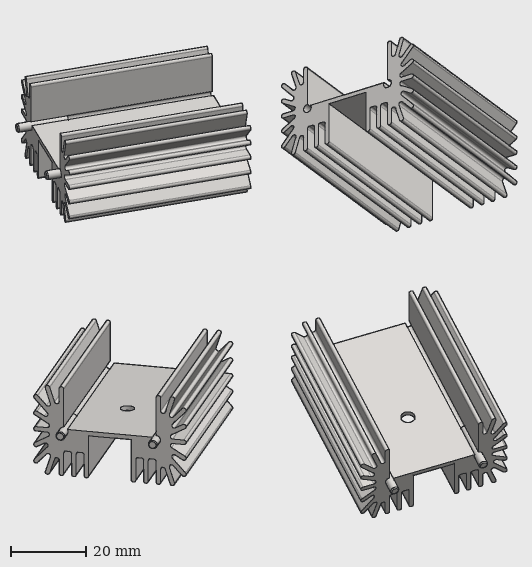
import cadquery as cq
import math


width = 41.91
height = 25.4
length = 50.8

thickness = 1.27
radius = thickness / 2
tip_x = -width / 2 + radius
tip_z = height / 2 - radius

channel_half_width = 12.7
lower_channel_half_width = 5.84
lower_slot_floor_z = -5.6
outer_leg_x = -channel_half_width - radius
inner_leg_x = -lower_channel_half_width - radius
middle_leg_x = (outer_leg_x + inner_leg_x) / 2

steep_fin_x = -17.15
steep_fin_lean = 18
diagonal_fin_z = 9.14
diagonal_fin_lean = 47
shallow_fin_z = 4.5
shallow_fin_lean = 30

pin_diameter = 2.413
pin_protrusion = 3.96
pin_seat_depth = 10.16
pin_tip_length = 0.35
pin_tip_inset = 0.25
pin_x = channel_half_width

hole_diameter = 3.81
hole_from_front = 19.05

front_y = -length / 2

upper_fins = [
    (outer_leg_x, tip_z, 90),
    (steep_fin_x, tip_z, 90 + steep_fin_lean),
    (tip_x, diagonal_fin_z, 180 - diagonal_fin_lean),
    (tip_x, shallow_fin_z, 180 - shallow_fin_lean),
]
lower_fins = [(x, -z, 360 - angle) for x, z, angle in reversed(upper_fins)]
fan_fins = upper_fins + [(tip_x, 0, 180)] + lower_fins
straight_legs = [(middle_leg_x, -tip_z, 270), (inner_leg_x, -tip_z, 270)]


def fin_frame(fin):
    """Tip centre, outward direction and right-hand side direction of a fin."""
    x, z, angle = fin
    a = math.radians(angle)
    return cq.Vector(x, z), cq.Vector(math.cos(a), math.sin(a)), cq.Vector(math.sin(a), -math.cos(a))


def arc_to(outline, start, middle, end):
    """Straight line to the start of an arc, then the arc."""
    return outline.lineTo(start.x, start.y).threePointArc((middle.x, middle.y), (end.x, end.y))


def add_tip(outline, fin):
    """Up the right side of a fin and around its tip."""
    tip, outward, right = fin_frame(fin)
    return arc_to(outline, tip + right * radius, tip + outward * radius, tip - right * radius)


def add_splayed_root(outline, fin, next_fin):
    """Root rounding tangent to two neighbouring fins that diverge."""
    tip, outward, right = fin_frame(fin)
    next_tip, next_outward, next_right = fin_frame(next_fin)
    beside_tip = tip - right * thickness
    travel = (thickness - (beside_tip - next_tip).dot(next_right)) / outward.dot(next_right)
    center = beside_tip + outward * travel
    bisector = (outward + next_outward).normalized()
    return arc_to(outline, center + right * radius, center - bisector * radius, center - next_right * radius)


def add_slot_floor(outline, leg_x, next_leg_x):
    """Flat floor with two rounded corners between two downward legs."""
    center_z = lower_slot_floor_z - radius
    diagonal = radius * math.sqrt(0.5)
    for x, side in ((leg_x + thickness, -1), (next_leg_x - thickness, 1)):
        center = cq.Vector(x, center_z)
        wall = center + cq.Vector(side * radius, 0)
        corner = center + cq.Vector(side * diagonal, diagonal)
        floor = center + cq.Vector(0, radius)
        start, end = (wall, floor) if side < 0 else (floor, wall)
        outline = arc_to(outline, start, corner, end)
    return outline


def make_half_extrusion():
    """Left half of the finned profile, extruded to full length."""
    outline = cq.Workplane("XZ", origin=(0, -front_y, 0))
    outline = outline.moveTo(0, radius).lineTo(-channel_half_width, radius)
    outline = add_tip(outline, fan_fins[0])
    for fin, next_fin in zip(fan_fins, fan_fins[1:]):
        outline = add_splayed_root(outline, fin, next_fin)
        outline = add_tip(outline, next_fin)
    leg_x = outer_leg_x
    for leg in straight_legs:
        outline = add_slot_floor(outline, leg_x, leg[0])
        outline = add_tip(outline, leg)
        leg_x = leg[0]
    outline = outline.lineTo(-lower_channel_half_width, -radius).lineTo(0, -radius).close()
    return outline.extrude(length)


def make_heat_sink():
    half = make_half_extrusion()
    body = half.union(half.mirror("YZ"))
    pin_bores = (
        cq.Workplane("XZ", origin=(0, -front_y, 0))
        .pushPoints([(-pin_x, 0), (pin_x, 0)])
        .circle(pin_diameter / 2)
        .extrude(length)
    )
    mounting_hole = (
        cq.Workplane("XY", origin=(0, front_y + hole_from_front, -thickness))
        .circle(hole_diameter / 2)
        .extrude(2 * thickness)
    )
    return body.cut(pin_bores).cut(mounting_hole)


def make_pin(x):
    """Round pin with a chamfered front tip, revolved about its own axis along Y."""
    pin_radius = pin_diameter / 2
    tip_y = front_y - pin_protrusion
    seat_y = front_y + pin_seat_depth
    half_section = [
        (0, tip_y),
        (pin_radius - pin_tip_inset, tip_y),
        (pin_radius, tip_y + pin_tip_length),
        (pin_radius, seat_y),
        (0, seat_y),
    ]
    return (
        cq.Workplane("XY", origin=(x, 0, 0))
        .polyline(half_section)
        .close()
        .revolve(360, (0, 0), (0, 1))
    )


heat_sink = make_heat_sink()
pins = [make_pin(x).val() for x in (-pin_x, pin_x)]

result = cq.Compound.makeCompound([heat_sink.val(), *pins])